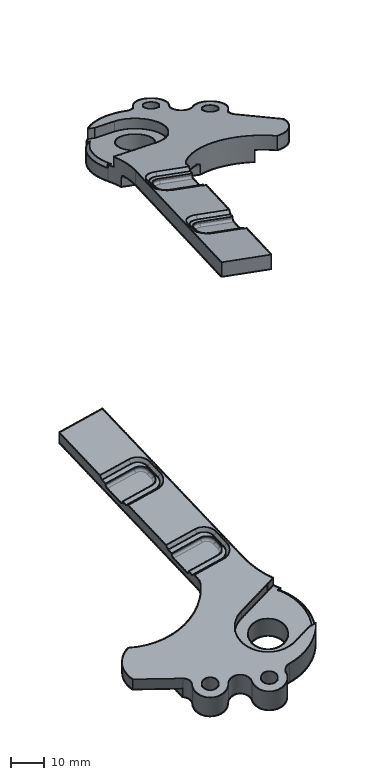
import cadquery as cq
import math


hub_thickness = 8.8
arm_thickness = 4.8
boss_height = 2.7
overall_height = hub_thickness + boss_height

bore_radius = 6.0
boss_radius = 10.0
boss_root_chamfer = 1.0

hub_center, hub_radius = (3.5, 3.3), 19.0
lug_radius = 5.4
lug_hole_radius = 2.5
lower_lug = (-16.5, 11.5)
upper_lug = (-8.1, 27.2)
hook_center, hook_radius = (37.8, 26.5), 23.5
tip_center, tip_radius = (9.2, 36.3), 9.0
tip_flank_start = 104.0
tip_flank_lean = 34.5

flank_fillet = 2.8
lug_gap_fillet = 3.6
hub_lug_fillet = 2.9
hub_arm_fillet = 29.2
hook_arm_fillet = 4.5

arm_length = 120.5
arm_end = arm_length + lower_lug[0] - lug_radius
arm_width = 16.0
arm_top = 6.0
arm_bottom = arm_top - arm_width

thick_end_x = 18.0
thick_end_y = upper_lug[1] + lug_radius
thick_root_fillet = 1.0

pocket_depth = 3.4
pocket_half_width = 10.0
pocket_tilt = 18.0
pocket_length = 36.2
mouth_left = -7.2
mouth_right = 13.7
mouth_top_y = -9.6
lip_chamfer = 1.1
lip_left = -5.5
lip_right = 12.3

recess_first_x = 36.6
recess_pitch = 33.9
shelf_depth = 1.1
shelf_half_width = 6.1
shelf_low_y = -8.2
shelf_corner = 3.5
well_depth = 2.4
well_half_width = 4.3
well_low_y = -7.8
well_corner = 3.3
well_floor_fillet = 0.8


def polar(center, radius, degrees):
    angle = math.radians(degrees)
    return (center[0] + radius * math.cos(angle), center[1] + radius * math.sin(angle))


def toward(center, radius, target):
    """Point on a circle in the direction of a target."""
    reach = radius / math.dist(center, target)
    return tuple(c + reach * (t - c) for c, t in zip(center, target))


def circles_meet(center_a, radius_a, center_b, radius_b):
    """Intersection of two circles lying to the left of the direction from a to b."""
    gap = math.dist(center_a, center_b)
    along = (gap**2 + radius_a**2 - radius_b**2) / (2 * gap)
    across = math.sqrt(radius_a**2 - along**2)
    ux, uy = ((b - a) / gap for a, b in zip(center_a, center_b))
    return (center_a[0] + along * ux - across * uy, center_a[1] + along * uy + across * ux)


def arc_to(path, center, start, end, turn):
    """Add an arc about a center; turn is 1 for counterclockwise and -1 for clockwise."""
    begin = math.atan2(start[1] - center[1], start[0] - center[0])
    finish = math.atan2(end[1] - center[1], end[0] - center[0])
    sweep = (turn * (finish - begin)) % (2 * math.pi)
    middle = polar(center, math.dist(center, start), math.degrees(begin + turn * sweep / 2))
    return path.threePointArc(middle, end)


def flank_blend():
    """Center and flank tangent point of the fillet between tip flank and upper lug."""
    start = polar(tip_center, tip_radius, tip_flank_start)
    lean = math.radians(tip_flank_lean)
    direction = (-math.sin(lean), -math.cos(lean))
    normal = (-math.cos(lean), math.sin(lean))
    offset = tuple(s + flank_fillet * n for s, n in zip(start, normal))
    rel = tuple(u - o for u, o in zip(upper_lug, offset))
    along = rel[0] * direction[0] + rel[1] * direction[1]
    across = rel[0] * normal[0] + rel[1] * normal[1]
    travel = along - math.sqrt((lug_radius + flank_fillet) ** 2 - across**2)
    center = tuple(o + travel * d for o, d in zip(offset, direction))
    tangent = tuple(s + travel * d for s, d in zip(start, direction))
    return center, tangent


def outline():
    """Closed profile of the whole lever, traced counterclockwise."""
    round_y = arm_top + hook_arm_fillet
    round_x = hook_center[0] - math.sqrt(
        (hook_radius - hook_arm_fillet) ** 2 - (hook_center[1] - round_y) ** 2
    )
    round_center = (round_x, round_y)
    round_start = (round_x, arm_top)
    hook_start = toward(hook_center, hook_radius, round_center)
    tip_start = circles_meet(tip_center, tip_radius, hook_center, hook_radius)
    tip_end = polar(tip_center, tip_radius, tip_flank_start)
    flank_center, flank_end = flank_blend()
    gap_center = circles_meet(
        lower_lug, lug_radius + lug_gap_fillet, upper_lug, lug_radius + lug_gap_fillet
    )
    neck_center = circles_meet(
        hub_center, hub_radius + hub_lug_fillet, lower_lug, lug_radius + hub_lug_fillet
    )
    sweep_y = arm_bottom - hub_arm_fillet
    sweep_x = hub_center[0] + math.sqrt(
        (hub_radius + hub_arm_fillet) ** 2 - (hub_center[1] - sweep_y) ** 2
    )
    sweep_center = (sweep_x, sweep_y)

    upper_start = toward(upper_lug, lug_radius, flank_center)
    upper_end = toward(upper_lug, lug_radius, gap_center)
    lower_start = toward(lower_lug, lug_radius, gap_center)
    lower_end = toward(lower_lug, lug_radius, neck_center)
    hub_start = toward(hub_center, hub_radius, neck_center)
    hub_end = toward(hub_center, hub_radius, sweep_center)

    path = cq.Workplane("XY").moveTo(arm_end, arm_bottom).lineTo(arm_end, arm_top)
    path = path.lineTo(*round_start)
    path = arc_to(path, round_center, round_start, hook_start, -1)
    path = arc_to(path, hook_center, hook_start, tip_start, -1)
    path = arc_to(path, tip_center, tip_start, tip_end, 1)
    path = path.lineTo(*flank_end)
    path = arc_to(path, flank_center, flank_end, upper_start, -1)
    path = arc_to(path, upper_lug, upper_start, upper_end, 1)
    path = arc_to(path, gap_center, upper_end, lower_start, -1)
    path = arc_to(path, lower_lug, lower_start, lower_end, 1)
    path = arc_to(path, neck_center, lower_end, hub_start, -1)
    path = arc_to(path, hub_center, hub_start, hub_end, 1)
    path = arc_to(path, sweep_center, hub_end, (sweep_x, arm_bottom), -1)
    return path.close()


def make_body():
    """Thin lever plate joined to a full-thickness hub, with a fillet under the plate."""
    plate = outline().extrude(-arm_thickness)
    thick_zone = (
        cq.Workplane("XY")
        .box(arm_length, arm_length, hub_thickness, centered=False)
        .translate((thick_end_x - arm_length, thick_end_y - arm_length, -hub_thickness))
    )
    root_flare = (
        cq.Workplane("XZ", origin=(0, thick_end_y, 0))
        .moveTo(thick_end_x, -arm_thickness)
        .line(thick_root_fillet, 0)
        .radiusArc((thick_end_x, -arm_thickness - thick_root_fillet), -thick_root_fillet)
        .close()
        .extrude(arm_length)
    )
    hub = outline().extrude(-hub_thickness).intersect(thick_zone.union(root_flare))
    return plate.union(hub)


def make_boss():
    boss = cq.Workplane("XY").workplane(offset=-overall_height).circle(boss_radius)
    boss = boss.extrude(boss_height)
    root = (
        cq.Workplane("XY")
        .workplane(offset=-hub_thickness)
        .circle(boss_radius + boss_root_chamfer)
        .extrude(-boss_root_chamfer, taper=45)
    )
    return boss.union(root)


def cut_pocket(body):
    """Round-ended pocket, tilted and open through the hub rim, with a squared mouth."""
    pocket = (
        cq.Workplane("XY")
        .circle(pocket_half_width)
        .extrude(-pocket_depth)
        .union(
            cq.Workplane("XY")
            .center(0, -pocket_length / 2)
            .rect(2 * pocket_half_width, pocket_length)
            .extrude(-pocket_depth)
        )
        .rotate((0, 0, 0), (0, 0, 1), pocket_tilt)
    )
    mouth = (
        cq.Workplane("XY")
        .moveTo((mouth_left + mouth_right) / 2, mouth_top_y - pocket_length / 2)
        .rect(mouth_right - mouth_left, pocket_length)
        .extrude(-pocket_depth)
    )
    return body.cut(pocket).cut(mouth)


def cut_lip(body):
    """Conical chamfer along the low rim of the pocket, between two X limits."""
    ring = (
        cq.Workplane("XZ")
        .moveTo(hub_radius - lip_chamfer, -pocket_depth)
        .line(2 * lip_chamfer, 0)
        .line(0, -2 * lip_chamfer)
        .close()
        .revolve(360, (0, 0, 0), (0, 1, 0))
        .translate((*hub_center, 0))
    )
    limits = (
        cq.Workplane("XY")
        .moveTo((lip_left + lip_right) / 2, -hub_radius)
        .rect(lip_right - lip_left, 2 * hub_radius)
        .extrude(-hub_thickness)
    )
    return body.cut(ring.intersect(limits))


def recess_layer(half_width, low_y, corner, depth):
    """Slot open at the upper arm edge with two rounded lower corners."""
    return (
        cq.Workplane("XY")
        .workplane(offset=-depth)
        .moveTo(0, (low_y + arm_top + corner) / 2)
        .rect(2 * half_width, arm_top + corner - low_y)
        .extrude(depth)
        .edges("|Z and <Y")
        .fillet(corner)
    )


def make_recess():
    """Shallow shelf with a flared wall, and a deeper well with a filleted floor."""
    flared_shelf = (
        recess_layer(shelf_half_width, shelf_low_y, shelf_corner, shelf_depth)
        .faces("<Z")
        .wires()
        .toPending()
        .extrude(shelf_depth, taper=-45, combine=False)
    )
    well = recess_layer(well_half_width, well_low_y, well_corner, well_depth)
    well = well.faces("<Z").edges().fillet(well_floor_fillet)
    return flared_shelf.union(well)


body = make_body()
body = cut_pocket(body)
body = cut_lip(body)
body = body.union(make_boss())

bore = cq.Workplane("XY").circle(bore_radius).extrude(-overall_height)
lug_holes = (
    cq.Workplane("XY")
    .pushPoints([lower_lug, upper_lug])
    .circle(lug_hole_radius)
    .extrude(-hub_thickness)
)
body = body.cut(bore).cut(lug_holes)

recess = make_recess()
for index in range(2):
    body = body.cut(recess.translate((recess_first_x + index * recess_pitch, 0, 0)))

result = body